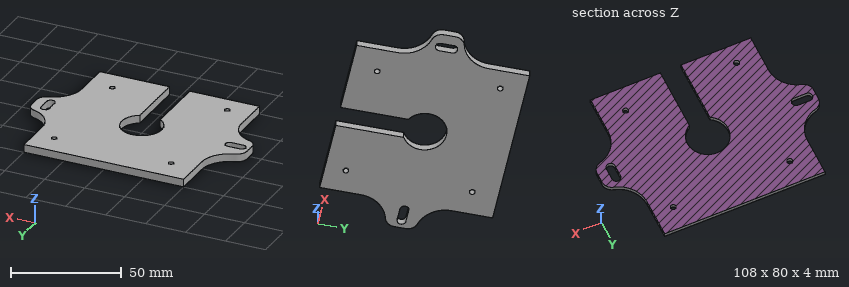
import cadquery as cq
import math

overall_length = 108.0
plate_side = 80.0
thickness = 4.0

ear_root_half_width = 21.0
ear_corner_radius = 5.0

bore_diameter = 20.0
entry_slot_width = 10.0

ear_slot_length = 10.0
ear_slot_width = 4.0
ear_slot_offset = 47.0

pin_hole_diameter = 2.5
pin_hole_centres = [(-28.0, 28.0), (30.3, 28.4), (-28.4, -30.3), (28.0, -28.0)]

half_plate = plate_side / 2
half_length = overall_length / 2
flank_radius = half_length - half_plate


def ear_outline_points():
    """Points of the upper half of the right ear, from plate edge to tip."""
    flank_centre = (half_length, ear_root_half_width)
    corner_x = half_length - ear_corner_radius
    centre_distance = flank_radius + ear_corner_radius
    corner_y = ear_root_half_width - math.sqrt(centre_distance**2 - ear_corner_radius**2)

    join_angle = math.atan2(ear_root_half_width - corner_y, ear_corner_radius)

    def on_flank(angle):
        return (flank_centre[0] + flank_radius * math.cos(angle),
                flank_centre[1] + flank_radius * math.sin(angle))

    def on_corner(angle):
        return (corner_x + ear_corner_radius * math.cos(angle),
                corner_y + ear_corner_radius * math.sin(angle))

    root = (half_plate, ear_root_half_width)
    flank_middle = on_flank(math.pi + join_angle / 2)
    join = on_corner(join_angle)
    corner_middle = on_corner(join_angle / 2)
    tip = (half_length, corner_y)
    return root, flank_middle, join, corner_middle, tip


def make_ear(side):
    """Ear on the right (side = 1) or left (side = -1), rooted at the plate centreline."""
    upper = [(side * x, y) for x, y in ear_outline_points()]
    lower = [(x, -y) for x, y in upper]
    return (
        cq.Workplane("XY")
        .moveTo(0, ear_root_half_width)
        .lineTo(*upper[0])
        .threePointArc(upper[1], upper[2])
        .threePointArc(upper[3], upper[4])
        .lineTo(*lower[4])
        .threePointArc(lower[3], lower[2])
        .threePointArc(lower[1], lower[0])
        .lineTo(0, -ear_root_half_width)
        .close()
        .extrude(thickness)
    )


def make_ear_slot(centre_x, angle):
    return (
        cq.Workplane("XY")
        .center(centre_x, 0)
        .slot2D(ear_slot_length, ear_slot_width, angle)
        .extrude(thickness)
    )


plate = cq.Workplane("XY").rect(plate_side, plate_side).extrude(thickness)
body = plate.union(make_ear(1)).union(make_ear(-1))

bore = cq.Workplane("XY").circle(bore_diameter / 2).extrude(thickness)
entry_slot = (
    cq.Workplane("XY")
    .center(0, -half_plate / 2)
    .rect(entry_slot_width, half_plate)
    .extrude(thickness)
)
body = body.cut(bore).cut(entry_slot)

body = body.cut(make_ear_slot(-ear_slot_offset, 0))
body = body.cut(make_ear_slot(ear_slot_offset, 90))

pin_holes = (
    cq.Workplane("XY")
    .pushPoints(pin_hole_centres)
    .circle(pin_hole_diameter / 2)
    .extrude(thickness)
)
result = body.cut(pin_holes)